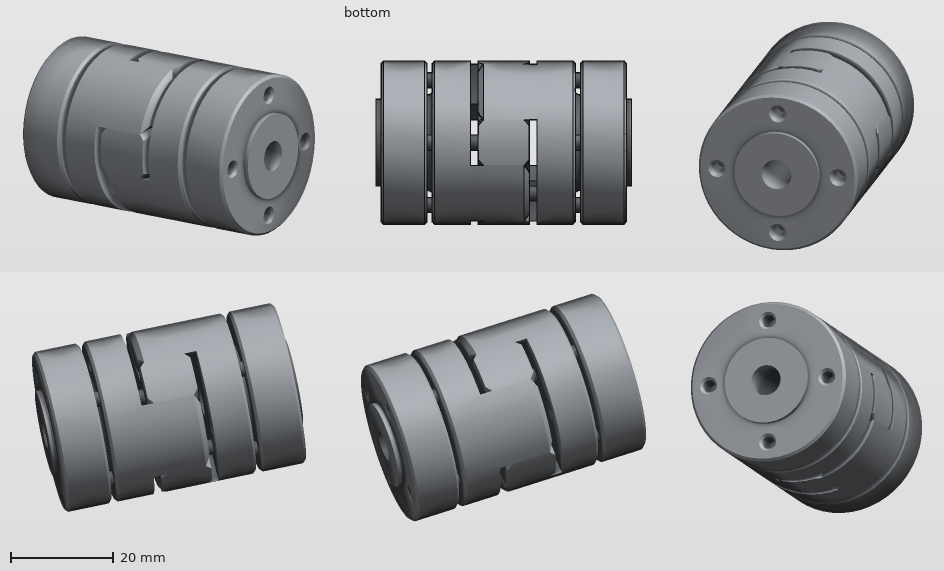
import cadquery as cq
import math

LENGTH = 50.0
OUTER_R = 32.0 / 2
BORE_D = 6.0
EDGE_CHAMFER = 0.5

END_X = LENGTH / 2
FLANGE_OUT_X = 24.0
FLANGE_IN_X = 15.0
COLLAR_STEP_X = 14.7
HUB_OUT_X = 14.0
HUB_IN_X = 6.5
SPIDER_X = 5.0

BOSS_D = 17.0
COLLAR_R = 9.4
COLLAR_FLARE_R = 9.85
COLLAR_FLARE_DIP = 0.1

PITCH_R = 12.2
SCREW_D = 3.0
FLANGE_HOLE_D = 2.5
FLANGE_SINK_D = 3.5
FLANGE_HOLE_DEPTH = 5.0
HUB_HOLE_D = 2.5
HUB_SINK_D = 4.5
HUB_HOLE_DEPTH = HUB_OUT_X - HUB_IN_X

CORE_R = 8.75
FLANK = 4.45
BULGE = 0.5
FLANK_INNER = math.sqrt(CORE_R**2 - FLANK**2)
FLANK_OUTER = math.sqrt(OUTER_R**2 - FLANK**2)
FLANK_MIDDLE = (FLANK_INNER + FLANK_OUTER) / 2
CREST = FLANK + BULGE
TIP_CHAMFER = 1.0

NUB_D = 3.0
LEFT_NUB_R = 8.45
RIGHT_NUB_R = 9.95

ARM_ANGLES = (0, 90, 180, 270)
JAW_ANGLES = (135, 315)
HUB_HOLE_ANGLES = (45, 225)
LEFT_NUB_ANGLES = (90, 270)
RIGHT_NUB_ANGLES = (0, 180)


def disc(diameter, x_start, x_end):
    """Solid cylinder on the coupling axis."""
    return cq.Workplane("YZ", origin=(x_start, 0, 0)).circle(diameter / 2).extrude(x_end - x_start)


def spin(solid, angle):
    """Turn a solid about the coupling axis."""
    return solid.rotate((0, 0, 0), (1, 0, 0), angle)


def pins(diameter, radius, angles, x_start, x_end):
    """Cylinders parallel to the axis, spaced around it."""
    pin = disc(diameter, x_start, x_end).translate((0, radius, 0))
    group = cq.Workplane("YZ")
    for angle in angles:
        group = group.add(spin(pin, angle))
    return group.combine()


def countersunk_hole(hole_d, sink_d, depth, face_x, inward):
    """Cutter for a hole with a 45 degree mouth; inward is +1 or -1 along X."""
    sink = (sink_d - hole_d) / 2
    return (
        cq.Workplane("XY", origin=(face_x, 0, 0))
        .polyline([
            (0, 0),
            (0, sink_d / 2),
            (inward * sink, hole_d / 2),
            (inward * depth, hole_d / 2),
            (inward * depth, 0),
        ])
        .close()
        .revolve(360, (0, 0, 0), (1, 0, 0))
        .translate((0, PITCH_R, 0))
    )


def make_arm():
    """Spider arm toward +Y, with chamfered flank edges."""
    arm = (
        cq.Workplane("YZ", origin=(-SPIDER_X, 0, 0))
        .moveTo(FLANK_INNER, -FLANK)
        .threePointArc((FLANK_MIDDLE, -CREST), (FLANK_OUTER, -FLANK))
        .threePointArc((OUTER_R, 0), (FLANK_OUTER, FLANK))
        .threePointArc((FLANK_MIDDLE, CREST), (FLANK_INNER, FLANK))
        .threePointArc((CORE_R, 0), (FLANK_INNER, -FLANK))
        .close()
        .extrude(2 * SPIDER_X)
    )
    for flank in (">Z", "<Z"):
        arm = arm.faces(flank).edges("%CIRCLE").chamfer(TIP_CHAMFER)
    return arm


def make_spider():
    """Core with four arms and spacer nubs that bear on the hubs."""
    spider = disc(2 * CORE_R, -SPIDER_X, SPIDER_X)
    arm = make_arm()
    for angle in ARM_ANGLES:
        spider = spider.union(spin(arm, angle))
    left_nubs = pins(NUB_D, LEFT_NUB_R, LEFT_NUB_ANGLES, -HUB_IN_X, -SPIDER_X)
    right_nubs = pins(NUB_D, RIGHT_NUB_R, RIGHT_NUB_ANGLES, SPIDER_X, HUB_IN_X)
    return spider.union(left_nubs).union(right_nubs)


def make_jaw():
    """Jaw of the left hub, drawn between the +Y and +Z arms, then turned to +Y."""
    diagonal = math.sqrt(0.5)
    jaw = (
        cq.Workplane("YZ", origin=(-HUB_IN_X, 0, 0))
        .moveTo(FLANK_INNER, FLANK)
        .threePointArc((FLANK_MIDDLE, CREST), (FLANK_OUTER, FLANK))
        .threePointArc((OUTER_R * diagonal, OUTER_R * diagonal), (FLANK, FLANK_OUTER))
        .threePointArc((CREST, FLANK_MIDDLE), (FLANK, FLANK_INNER))
        .threePointArc((CORE_R * diagonal, CORE_R * diagonal), (FLANK_INNER, FLANK))
        .close()
        .extrude(HUB_IN_X + SPIDER_X)
    )
    return spin(jaw.faces(">X").chamfer(TIP_CHAMFER), -45)


def make_flange():
    """Left flange with its boss and countersunk screw holes."""
    flange = disc(2 * OUTER_R, -FLANGE_OUT_X, -FLANGE_IN_X).edges().chamfer(EDGE_CHAMFER)
    hole = countersunk_hole(FLANGE_HOLE_D, FLANGE_SINK_D, FLANGE_HOLE_DEPTH, -FLANGE_OUT_X, 1)
    for angle in ARM_ANGLES:
        flange = flange.cut(spin(hole, angle))
    return flange.union(disc(BOSS_D, -END_X, -FLANGE_OUT_X))


def make_collar():
    """Collar and screws that join the left flange to its hub."""
    flare_middle = (
        -(COLLAR_STEP_X + HUB_OUT_X) / 2,
        (COLLAR_R + COLLAR_FLARE_R) / 2 - COLLAR_FLARE_DIP,
    )
    collar = (
        cq.Workplane("XY")
        .moveTo(-FLANGE_IN_X, 0)
        .lineTo(-FLANGE_IN_X, COLLAR_R)
        .lineTo(-COLLAR_STEP_X, COLLAR_R)
        .threePointArc(flare_middle, (-HUB_OUT_X, COLLAR_FLARE_R))
        .lineTo(-HUB_OUT_X, 0)
        .close()
        .revolve(360, (0, 0, 0), (1, 0, 0))
    )
    return collar.union(pins(SCREW_D, PITCH_R, ARM_ANGLES, -FLANGE_IN_X, -HUB_OUT_X))


def make_hub():
    """Left hub with two jaws, and holes in the corners without jaws."""
    hub = disc(2 * OUTER_R, -HUB_OUT_X, -HUB_IN_X).faces("<X").edges().chamfer(EDGE_CHAMFER)
    hole = countersunk_hole(HUB_HOLE_D, HUB_SINK_D, HUB_HOLE_DEPTH, -HUB_IN_X, -1)
    for angle in HUB_HOLE_ANGLES:
        hub = hub.cut(spin(hole, angle))
    jaw = make_jaw()
    for angle in JAW_ANGLES:
        hub = hub.union(spin(jaw, angle))
    return hub


left_half = make_flange().union(make_collar()).union(make_hub())
right_half = left_half.rotate((0, 0, 0), (0, 0, 1), 180)
bore = disc(BORE_D, -END_X, END_X)

coupling = left_half.union(make_spider(), clean=False).union(right_half, clean=False)
result = coupling.cut(bore, clean=False).solids()